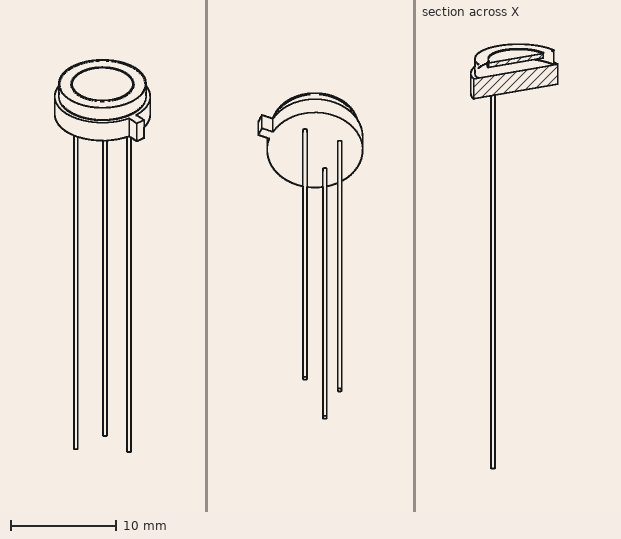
import cadquery as cq
import math

flange_diameter = 9.1
flange_height = 2.05

tab_width = 0.9
tab_tip_x = 5.67

can_diameter = 8.3
can_height = 1.45
can_wall = 0.1
cavity_diameter = can_diameter - 2 * can_wall
cavity_height = can_height - can_wall

opening_diameter = 5.8
glass_diameter = 6.0
glass_thickness = 0.5

pin_diameter = 0.4
pin_length = 38.1
pin_circle_diameter = 5.08
pin_offset = pin_circle_diameter / 2 / math.sqrt(2)
pin_centers = [(-pin_offset, -pin_offset), (-pin_offset, pin_offset), (pin_offset, pin_offset)]


def make_cylinder(base_z, diameter, height):
    """Upright cylinder on the Z axis."""
    return cq.Workplane("XY").workplane(offset=base_z).circle(diameter / 2).extrude(height)


def make_flange():
    """Round header with its underside on Z = 0."""
    return make_cylinder(0, flange_diameter, flange_height)


def make_tab():
    """Bar from the flange axis out to the tab tip, as tall as the flange."""
    return (
        cq.Workplane("XY")
        .center(tab_tip_x / 2, 0)
        .rect(tab_tip_x, tab_width)
        .extrude(flange_height)
    )


def make_can():
    """Hollow cap standing on the flange, with a glass disc under its open lid."""
    lid_underside_z = flange_height + cavity_height
    can = make_cylinder(flange_height, can_diameter, can_height)
    cavity = make_cylinder(flange_height, cavity_diameter, cavity_height)
    opening = make_cylinder(lid_underside_z, opening_diameter, can_wall)
    glass = make_cylinder(lid_underside_z - glass_thickness, glass_diameter, glass_thickness)
    return can.cut(cavity).cut(opening).union(glass)


def make_pins():
    """Straight leads hanging below the flange."""
    return (
        cq.Workplane("XY")
        .pushPoints(pin_centers)
        .circle(pin_diameter / 2)
        .extrude(-pin_length)
    )


result = make_flange().union(make_tab()).union(make_can()).union(make_pins())